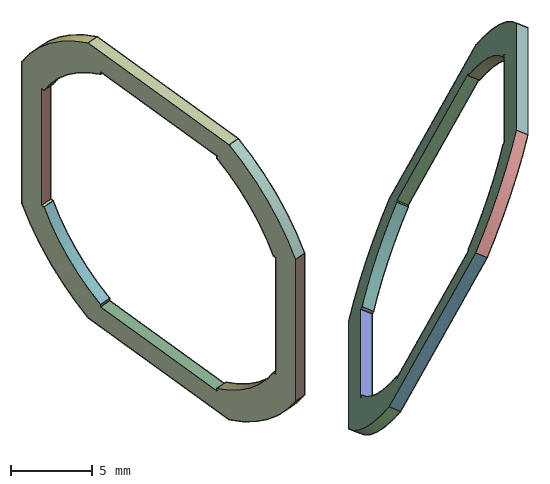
import cadquery as cq

outer_width = 24.0
thickness = 0.8
outer_corner_diameter = 27.0

bore_diameter = 22.5
opening_width = 20.5
relief_length = 10.18


def plate(width, height):
    """Rectangular plate centred on the origin, thick along Y."""
    return cq.Workplane("XY").box(width, thickness, height)


def disc(diameter):
    """Round disc centred on the origin, with its axis along Y."""
    return cq.Workplane("XZ").circle(diameter / 2).extrude(thickness / 2, both=True)


body = plate(outer_width, outer_width).intersect(disc(outer_corner_diameter))

bore = disc(bore_diameter).intersect(plate(opening_width, opening_width))

upright_relief = plate(relief_length, opening_width)
level_relief = plate(opening_width, relief_length)

result = body.cut(bore).cut(upright_relief).cut(level_relief)